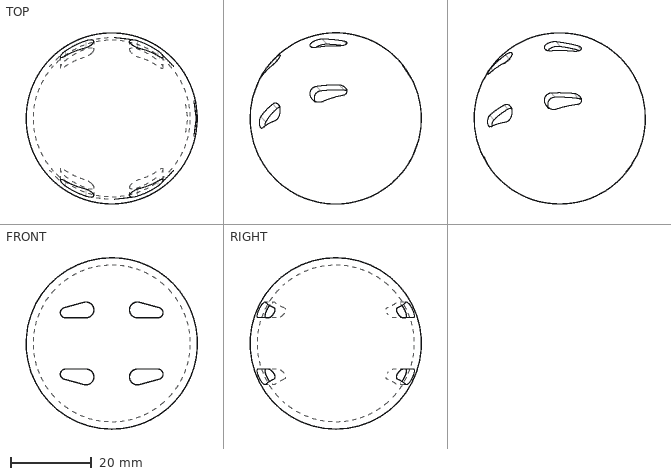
import cadquery as cq
import math

outer_radius = 21.21
wall = 1.8
inner_radius = outer_radius - wall

flat_height = 6.35
wide_end_x = 6.35
wide_end_radius = 1.93
narrow_end_radius = 1.25
end_spacing = 5.07


def hollow_ball():
    return cq.Workplane("XY").sphere(outer_radius).cut(cq.Workplane("XY").sphere(inner_radius))


def slot_cutter(side_x, side_z):
    """Teardrop prism along Y, right through the ball, in the given X/Z quadrant."""
    narrow_end_x = wide_end_x + end_spacing
    wide_end_z = flat_height + wide_end_radius
    narrow_end_z = flat_height + narrow_end_radius

    lean = 2 * math.atan2(wide_end_radius - narrow_end_radius, end_spacing)

    def on_end(centre_x, centre_z, radius, angle):
        """Point on a round end, at an angle from +Z towards the narrow end."""
        x = centre_x + radius * math.sin(angle)
        z = centre_z + radius * math.cos(angle)
        return side_x * x, side_z * z

    def on_wide_end(angle):
        return on_end(wide_end_x, wide_end_z, wide_end_radius, angle)

    def on_narrow_end(angle):
        return on_end(narrow_end_x, narrow_end_z, narrow_end_radius, angle)

    return (
        cq.Workplane("XZ")
        .moveTo(*on_wide_end(math.pi))
        .lineTo(*on_narrow_end(math.pi))
        .threePointArc(on_narrow_end(math.pi / 2), on_narrow_end(lean))
        .lineTo(*on_wide_end(lean))
        .threePointArc(on_wide_end(-math.pi / 2), on_wide_end(math.pi))
        .close()
        .extrude(outer_radius, both=True)
    )


result = hollow_ball()
for side_x in (-1, 1):
    for side_z in (-1, 1):
        result = result.cut(slot_cutter(side_x, side_z))